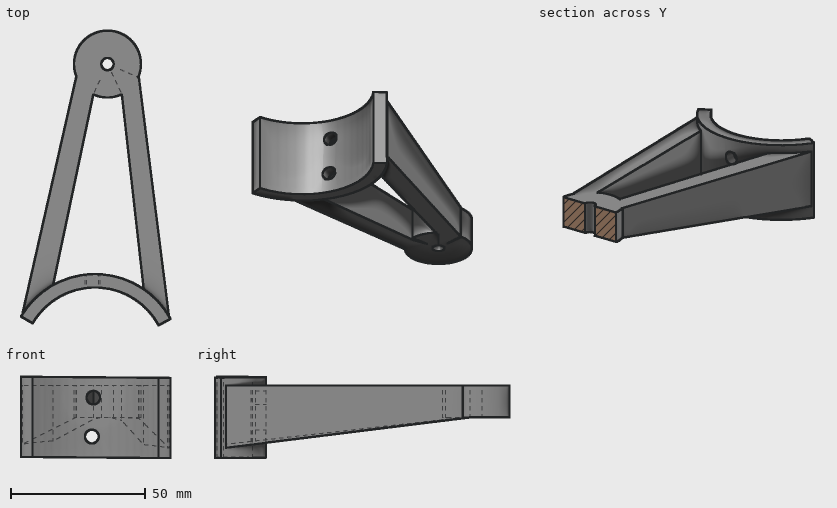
import cadquery as cq
import math

eye_radius = 12.5
eye_height = 12.0
pivot_diameter = 4.5

cradle_x = -4.6
cradle_y = -110.3
cradle_outer_radius = 32.0
cradle_thickness = 5.1
cradle_inner_radius = cradle_outer_radius - cradle_thickness
cradle_height = 30.0
cradle_mid_z = -12.0
cradle_start_angle = 28.4
cradle_end_angle = 149.8
cradle_slant = 0.45

screw_diameter = 5.1
screw_holes = [(-5.3, -4.6), (-5.8, -19.1)]

arm_end_y = -93.3
left_slope_start_y = -5.1
left_end_height = 22.0
right_slope_start_y = -2.0
right_end_height = 23.3
left_arm = [(-11.8, -5.1), (-31.8, arm_end_y), (-22.5, arm_end_y), (-5.2, -11.0)]
right_arm = [(11.8, -5.1), (22.9, arm_end_y), (14.5, arm_end_y), (5.3, -11.0)]


def cradle_point(radius, angle):
    """Point on a cradle arc, before the cradle is moved into place."""
    turn = math.radians(angle)
    return (radius * math.cos(turn), radius * math.sin(turn))


def make_cradle():
    middle_angle = (cradle_start_angle + cradle_end_angle) / 2
    plate = (
        cq.Workplane("XY")
        .moveTo(*cradle_point(cradle_outer_radius, cradle_start_angle))
        .threePointArc(
            cradle_point(cradle_outer_radius, middle_angle),
            cradle_point(cradle_outer_radius, cradle_end_angle),
        )
        .lineTo(*cradle_point(cradle_inner_radius, cradle_end_angle))
        .threePointArc(
            cradle_point(cradle_inner_radius, middle_angle),
            cradle_point(cradle_inner_radius, cradle_start_angle),
        )
        .close()
        .extrude(cradle_height, both=True)
    )
    slanted_block = (
        cq.Workplane("XY")
        .box(cradle_outer_radius * 3, cradle_outer_radius * 3, cradle_height)
        .rotate((0, 0, 0), (0, 1, 0), cradle_slant)
    )
    return plate.intersect(slanted_block).translate((cradle_x, cradle_y, cradle_mid_z))


def make_arm(outline, slope_start_y, end_height):
    side_profile = (
        cq.Workplane("YZ")
        .polyline([
            (0, 0),
            (arm_end_y, 0),
            (arm_end_y, -end_height),
            (slope_start_y, -eye_height),
            (0, -eye_height),
        ])
        .close()
        .extrude(cradle_outer_radius * 2, both=True)
    )
    plan = cq.Workplane("XY").polyline(outline + [(0, 0)]).close()
    return plan.extrude(-end_height).intersect(side_profile)


def make_arms():
    arms = make_arm(left_arm, left_slope_start_y, left_end_height).union(
        make_arm(right_arm, right_slope_start_y, right_end_height)
    )
    bore = (
        cq.Workplane("XY", origin=(cradle_x, cradle_y, 0))
        .circle(cradle_inner_radius)
        .extrude(-cradle_height)
    )
    return arms.cut(bore)


def make_screw_cutters():
    """Pins along Y that pass through the cradle plate only."""
    return (
        cq.Workplane("XZ", origin=(0, cradle_y + cradle_outer_radius, 0))
        .pushPoints(screw_holes)
        .circle(screw_diameter / 2)
        .extrude(cradle_outer_radius)
    )


eye = cq.Workplane("XY").circle(eye_radius).extrude(-eye_height)
pivot_hole = cq.Workplane("XY").circle(pivot_diameter / 2).extrude(-right_end_height)

result = eye.union(make_arms()).union(make_cradle())
result = result.cut(pivot_hole).cut(make_screw_cutters())